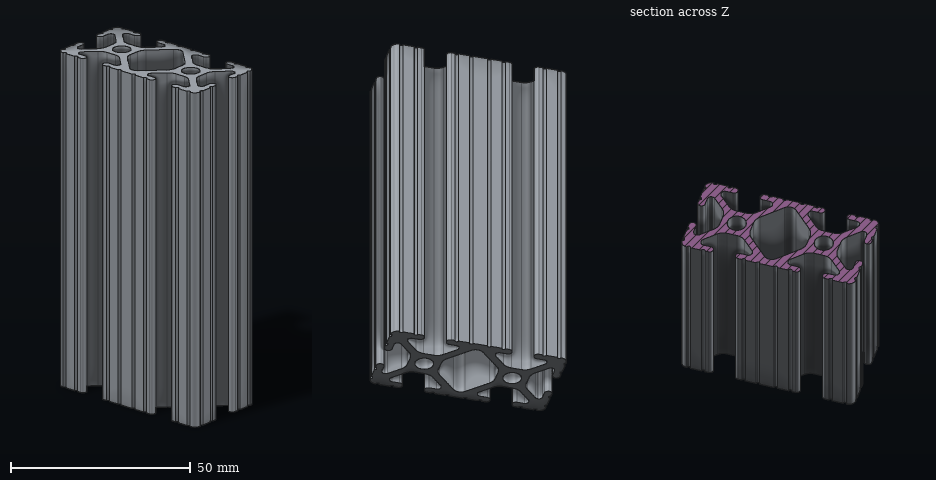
import cadquery as cq
import math

cell = 25.4
half_cell = cell / 2
length = 100
cell_centers = (-half_cell, half_cell)
corner_radius = 2.0

opening_width = 6.4
lip_thickness = 2.2
cavity_width = 14.8
core_width = 9.0
web_thickness = 2.2
floor_radius = 3.5
cavity_radius = 1.0

bore_diameter = 5.2
channel_tip_radius = 2.4

groove_offsets = (5.9, 10.1)
groove_width = 1.0
groove_depth = 0.5

lip_inner = half_cell - lip_thickness
lip_radius = lip_thickness / 2
half_core = core_width / 2
web_shift = web_thickness / math.sqrt(2)


def make_cavity():
    """Slot space behind the lips, opening toward +Y."""
    half_width = cavity_width / 2
    half_floor = half_core - web_shift
    shoulder = half_width + web_shift
    outline = [
        (-half_floor, half_core),
        (half_floor, half_core),
        (half_width, shoulder),
        (half_width, lip_inner),
        (-half_width, lip_inner),
        (-half_width, shoulder),
    ]
    cavity = cq.Workplane("XY").polyline(outline).close().extrude(length)
    upper_edges = cq.selectors.BoxSelector(
        (-cavity_width, shoulder - web_shift / 2, 0), (cavity_width, half_cell, length)
    )
    floor_edges = cq.selectors.BoxSelector(
        (-cavity_width, 0, 0), (cavity_width, half_core + web_shift / 2, length)
    )
    vertical = cq.selectors.ParallelDirSelector(cq.Vector(0, 0, 1))
    cavity = cavity.edges(vertical & upper_edges).fillet(cavity_radius)
    return cavity.edges(vertical & floor_edges).fillet(floor_radius)


def make_opening():
    """Gap between two lips with fully rounded ends."""
    tip = opening_width / 2
    round_center = tip + lip_radius
    lip_middle = half_cell - lip_radius
    return (
        cq.Workplane("XY")
        .moveTo(-round_center, half_cell)
        .threePointArc((-tip, lip_middle), (-round_center, lip_inner))
        .lineTo(round_center, lip_inner)
        .threePointArc((tip, lip_middle), (round_center, half_cell))
        .close()
        .extrude(length)
    )


def make_groove(offset):
    """Shallow arc-bottomed groove in the +Y face."""
    half_width = groove_width / 2
    return (
        cq.Workplane("XY")
        .moveTo(offset - half_width, half_cell)
        .threePointArc((offset, half_cell - groove_depth), (offset + half_width, half_cell))
        .close()
        .extrude(length)
    )


def make_channel():
    """Diamond-like channel between the cores, with flat sides and rounded tips."""
    half_width = half_cell - half_core
    tip = half_cell - web_shift
    side = tip - half_width
    outline = [
        (0, tip),
        (half_width, side),
        (half_width, -side),
        (0, -tip),
        (-half_width, -side),
        (-half_width, side),
    ]
    channel = cq.Workplane("XY").polyline(outline).close().extrude(length)
    tips = channel.edges("|Z").edges(">Y or <Y")
    channel = tips.fillet(channel_tip_radius)
    sides = channel.faces(">X or <X").edges("|Z")
    return sides.fillet(floor_radius)


def make_slot():
    """Everything removed from one cell face: cavity, opening and grooves."""
    slot = make_cavity().union(make_opening())
    for offset in groove_offsets:
        slot = slot.union(make_groove(offset)).union(make_groove(-offset))
    return slot


bar = cq.Workplane("XY").rect(2 * cell, cell).extrude(length)
bar = bar.edges("|Z").fillet(corner_radius)
bar = bar.cut(make_channel())

slot = make_slot()
for center in cell_centers:
    end_angle = math.copysign(90, -center)
    for angle in (0, end_angle, 180):
        bar = bar.cut(slot.rotate((0, 0, 0), (0, 0, 1), angle).translate((center, 0, 0)))
    bore = cq.Workplane("XY").center(center, 0).circle(bore_diameter / 2).extrude(length)
    bar = bar.cut(bore)

result = bar